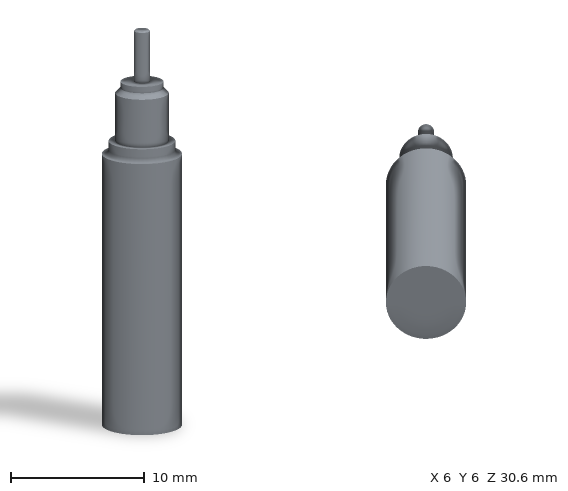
import cadquery as cq

TOTAL_HEIGHT = 30.6
BARREL_HEIGHT = 21.0
COLLAR_HEIGHT = 1.0
PIN_PROJECTION = 4.0
NOSE_TOP = TOTAL_HEIGHT - PIN_PROJECTION
COLLAR_TOP = BARREL_HEIGHT + COLLAR_HEIGHT

BARREL_DIAMETER = 6.0
COLLAR_DIAMETER = 5.0
COLLAR_FILLET = 0.3
NOSE_DIAMETER = 4.0
TIP_DIAMETER = 3.2
TIP_HEIGHT = 0.5
NOSE_CONE_HEIGHT = (NOSE_DIAMETER - TIP_DIAMETER) / 2
TIP_BASE = NOSE_TOP - TIP_HEIGHT
CONE_BASE = TIP_BASE - NOSE_CONE_HEIGHT

PIN_DIAMETER = 1.2
PIN_CHAMFER = 0.1
PIN_BASE = BARREL_HEIGHT
PIN_LENGTH = TOTAL_HEIGHT - PIN_BASE


def make_pin_blank():
    """Plain cylinder that fills the pin hole and reaches the top of the part."""
    return cq.Workplane("XY").workplane(offset=PIN_BASE).circle(PIN_DIAMETER / 2).extrude(PIN_LENGTH)


def make_housing():
    """Turned barrel with a filleted collar, a coned nose and the pin hole."""
    barrel_radius = BARREL_DIAMETER / 2
    collar_radius = COLLAR_DIAMETER / 2
    nose_radius = NOSE_DIAMETER / 2
    tip_radius = TIP_DIAMETER / 2
    half_section = (
        cq.Workplane("XZ")
        .lineTo(barrel_radius, 0)
        .lineTo(barrel_radius, BARREL_HEIGHT)
        .lineTo(collar_radius + COLLAR_FILLET, BARREL_HEIGHT)
        .radiusArc((collar_radius, BARREL_HEIGHT + COLLAR_FILLET), COLLAR_FILLET)
        .lineTo(collar_radius, COLLAR_TOP)
        .lineTo(nose_radius, COLLAR_TOP)
        .lineTo(nose_radius, CONE_BASE)
        .lineTo(tip_radius, TIP_BASE)
        .lineTo(tip_radius, NOSE_TOP)
        .lineTo(0, NOSE_TOP)
        .close()
    )
    turned_body = half_section.revolve(360, (0, 0), (0, 1))
    return turned_body.cut(make_pin_blank())


def make_pin():
    """Straight pin with a chamfered upper end."""
    return make_pin_blank().faces(">Z").chamfer(PIN_CHAMFER)


housing = make_housing()
pin = make_pin()

result = cq.Compound.makeCompound([housing.val(), pin.val()])